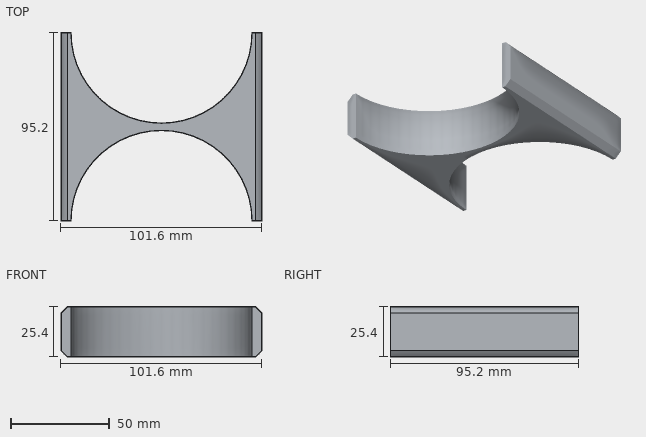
import cadquery as cq

width = 101.6
depth = 95.25
height = 25.4

saddle_diameter = 91.44

bevel = 3.175


def beveled_block():
    block = cq.Workplane("XY").box(width, depth, height)
    outer_edges = block.faces("<X or >X").edges("|Y")
    return outer_edges.chamfer(bevel)


def saddle_cutters():
    centers = [(0, -depth / 2), (0, depth / 2)]
    return (
        cq.Workplane("XY", origin=(0, 0, -height / 2))
        .pushPoints(centers)
        .circle(saddle_diameter / 2)
        .extrude(height)
    )


result = beveled_block().cut(saddle_cutters())